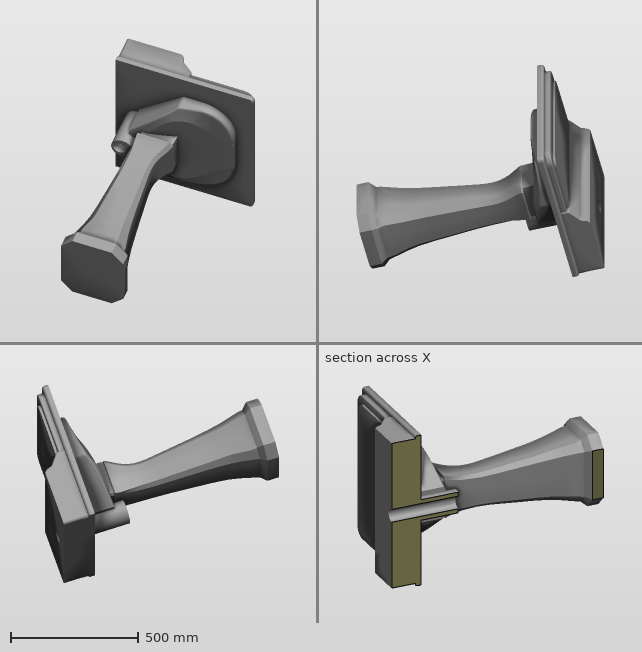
import cadquery as cq
import math


TOTAL_HEIGHT = 920.0
RIM_BOTTOM = 791.0
PEDESTAL_TOP = 661.0

RIM_DEPTH = 581.0
RIM_HALF_WIDTH = 328.0
RIM_CORNER_RADIUS = 18.0
RIM_EDGE_RADIUS = 11.0
RIM_SHOULDER_TOP = 818.0
RIM_INSET = 12.0
DECK_TOP = 842.0
DECK_FRONT = 569.0
DECK_HALF_WIDTH = 312.0
DECK_CORNER_RADIUS = 46.0
DECK_EDGE_RADIUS = 5.0
LEDGE_TOP = 852.0
LEDGE_FRONT = 531.0
LEDGE_CORNER_RADIUS = 34.0
LEDGE_INSET = 28.0

BACKSPLASH_FRONT = 300.0
BACKSPLASH_CREST = 234.0
BACKSPLASH_BROW = (243.0, 910.0)
BACKSPLASH_DIP = (252.0, 886.0)
BACKSPLASH_NOSE = (BACKSPLASH_FRONT, 850.0)
BACKSPLASH_DIP_RADIUS = 5.5
BACKSPLASH_NOSE_RADIUS = 14.0
BACKSPLASH_HALF_WIDTH = RIM_HALF_WIDTH - RIM_INSET
BACKSPLASH_CORNER_RADIUS = 10.0
BACKSPLASH_EDGE_CHAMFER = 4.0

BOWL_BACK = 101.0
BOWL_BACK_HALF_WIDTH = 68.0
BOWL_SHOULDER = 287.0
BOWL_HALF_WIDTH = 226.0
BOWL_FRONT = 511.0
BOWL_FRONT_RADIUS = 146.0
BOWL_SHOULDER_RADIUS = 22.0
BOWL_EDGE_RADIUS = 9.0
BOWL_STATIONS = [
    (BOWL_BACK, 672.0, 37.0, 708.0),
    (202.0, 684.0, 110.0, 718.5),
    (304.0, 708.0, 175.0, 733.0),
    (405.0, 731.0, 133.0, 751.0),
    (BOWL_FRONT, 747.0, 78.0, 753.0),
]

NECK_BACK = 147.0
NECK_FRONT = 293.0
NECK_FRONT_TOP = 299.0
NECK_HALF_WIDTH = 78.0
NECK_CORNER = 9.0

PIPE_X = 92.0
PIPE_RADIUS = 48.0
PIPE_BOTTOM = 630.0
PIPE_BORE_X = 79.0
PIPE_BORE_RADIUS = 27.0

BASE_HEIGHT = 49.0
PEDESTAL_LIP_RADIUS = 5.5
BASE_STATION = (BASE_HEIGHT, 78.0, 340.0, 155.5, 49.0, 48.0)
COLUMN_STATIONS = [
    (74.0, 98.0, 316.5, 134.0, 37.0, 36.0),
    (147.0, 115.0, 302.0, 117.0, 28.5, 28.0),
    (221.0, 125.0, 288.0, 103.0, 24.0, 23.0),
    (294.0, 129.0, 278.0, 94.0, 20.0, 19.0),
    (368.0, 132.0, 270.0, 86.5, 18.0, 18.0),
    (442.0, 134.0, 261.0, 78.0, 17.0, 17.0),
    (515.0, 136.0, 254.0, 74.0, 15.0, 15.0),
    (589.0, 140.0, 265.0, 77.0, 15.0, 9.0),
    (PEDESTAL_TOP, 142.0, 296.0, 96.0, 17.0, 4.0),
]


def plan(height):
    """Workplane parallel to the floor at a height, with local x = X and local y = Z."""
    return cq.Workplane(cq.Plane(origin=(0, height, 0), xDir=(1, 0, 0), normal=(0, -1, 0)))


def slab(bottom, top, depth, half_width, front_radius):
    """Slab against the wall with rounded front corners."""
    block = plan(bottom).center(depth / 2, 0).rect(depth, 2 * half_width).extrude(bottom - top)
    return block.edges("|Y and >X").fillet(front_radius)


def vertical_cylinder(x, radius, bottom, top):
    """Cylinder standing along Y on the symmetry plane."""
    return plan(bottom).center(x, 0).circle(radius).extrude(bottom - top)


def make_rim():
    """Flange with a deck and a raised ledge stepped inward above it."""
    flange = slab(RIM_BOTTOM, RIM_SHOULDER_TOP, RIM_DEPTH, RIM_HALF_WIDTH, RIM_CORNER_RADIUS)
    flange = flange.faces(">Y").edges("not <X").fillet(RIM_EDGE_RADIUS)
    deck = slab(RIM_BOTTOM, DECK_TOP, DECK_FRONT, DECK_HALF_WIDTH, DECK_CORNER_RADIUS)
    deck = deck.faces(">Y").edges("not <X").fillet(DECK_EDGE_RADIUS)
    ledge_half_width = DECK_HALF_WIDTH - LEDGE_INSET
    ledge = slab(RIM_BOTTOM, LEDGE_TOP, LEDGE_FRONT, ledge_half_width, LEDGE_CORNER_RADIUS)
    return flange.union(deck).union(ledge)


def make_backsplash():
    outline = [
        (0, RIM_BOTTOM),
        (0, TOTAL_HEIGHT),
        (BACKSPLASH_CREST, TOTAL_HEIGHT),
        BACKSPLASH_BROW,
        BACKSPLASH_DIP,
        BACKSPLASH_NOSE,
        (BACKSPLASH_FRONT, RIM_BOTTOM),
    ]
    block = cq.Workplane("XY").polyline(outline).close().extrude(BACKSPLASH_HALF_WIDTH, both=True)
    rounded_corners = [
        (BACKSPLASH_DIP, BACKSPLASH_DIP_RADIUS),
        (BACKSPLASH_NOSE, BACKSPLASH_NOSE_RADIUS),
    ]
    for (x, y), radius in rounded_corners:
        block = block.edges(cq.NearestToPointSelector((x, y, 0))).fillet(radius)
    block = block.edges("|Y and <X").fillet(BACKSPLASH_CORNER_RADIUS)
    front_region = cq.selectors.BoxSelector(
        (BACKSPLASH_CREST, RIM_BOTTOM + BACKSPLASH_EDGE_CHAMFER, -RIM_HALF_WIDTH),
        (RIM_DEPTH, TOTAL_HEIGHT, RIM_HALF_WIDTH),
    )
    return block.faces("<Z or >Z").edges(front_region).chamfer(BACKSPLASH_EDGE_CHAMFER)


def underside_section(station):
    """Section of the bowl's underside at one X: flat in the middle, rising to both sides."""
    x, middle_level, flat_half_width, edge_level = station
    half = [
        (flat_half_width, middle_level),
        (BOWL_HALF_WIDTH, edge_level),
        (BOWL_HALF_WIDTH, RIM_BOTTOM),
    ]
    mirrored = [(-z, level) for z, level in reversed(half)]
    return cq.Wire.makePolygon([cq.Vector(x, level, z) for z, level in half + mirrored], close=True)


def make_underside():
    sections = [underside_section(station) for station in BOWL_STATIONS]
    return cq.Workplane(cq.Solid.makeLoft(sections, False))


def make_bowl():
    arc_x = BOWL_FRONT - BOWL_FRONT_RADIUS
    arc_z = BOWL_HALF_WIDTH - BOWL_FRONT_RADIUS
    arc_mid = BOWL_FRONT_RADIUS * math.sqrt(0.5)
    outline = (
        plan(RIM_BOTTOM)
        .moveTo(BOWL_BACK, -BOWL_BACK_HALF_WIDTH)
        .lineTo(BOWL_SHOULDER, -BOWL_HALF_WIDTH)
        .lineTo(arc_x, -BOWL_HALF_WIDTH)
        .threePointArc((arc_x + arc_mid, -arc_z - arc_mid), (BOWL_FRONT, -arc_z))
        .lineTo(BOWL_FRONT, arc_z)
        .threePointArc((arc_x + arc_mid, arc_z + arc_mid), (arc_x, BOWL_HALF_WIDTH))
        .lineTo(BOWL_SHOULDER, BOWL_HALF_WIDTH)
        .lineTo(BOWL_BACK, BOWL_BACK_HALF_WIDTH)
        .close()
    )
    walls = outline.extrude(RIM_BOTTOM - PEDESTAL_TOP)
    for side in (-1, 1):
        shoulder = cq.NearestToPointSelector((BOWL_SHOULDER, RIM_BOTTOM, side * BOWL_HALF_WIDTH))
        walls = walls.edges("|Y").edges(shoulder).fillet(BOWL_SHOULDER_RADIUS)
    bowl = walls.intersect(make_underside())
    lower_edges = bowl.faces("%PLANE or %CYLINDER").edges("%BSPLINE").edges("not(<X or >X)")
    return lower_edges.fillet(BOWL_EDGE_RADIUS)


def make_neck():
    profile = (
        cq.Workplane("XY", origin=(0, 0, -NECK_HALF_WIDTH))
        .moveTo(NECK_BACK, PEDESTAL_TOP)
        .lineTo(NECK_FRONT, PEDESTAL_TOP)
        .lineTo(NECK_FRONT_TOP, RIM_BOTTOM)
        .lineTo(NECK_BACK, RIM_BOTTOM)
        .close()
    )
    neck = profile.extrude(2 * NECK_HALF_WIDTH)
    return neck.edges("(<X or >X) and (not |Z)").chamfer(NECK_CORNER)


def make_basin():
    pipe = vertical_cylinder(PIPE_X, PIPE_RADIUS, PIPE_BOTTOM, RIM_SHOULDER_TOP)
    bore = vertical_cylinder(PIPE_BORE_X, PIPE_BORE_RADIUS, PIPE_BOTTOM, TOTAL_HEIGHT)
    basin = make_rim().union(make_backsplash()).union(make_bowl()).union(make_neck())
    return basin.union(pipe).cut(bore)


def station_outline(station):
    """Eight-sided outline of the pedestal at one station."""
    height, back, front, half_width, cut, back_depth = station
    shoulder = half_width - cut
    points = [
        (back, -shoulder),
        (back + back_depth, -half_width),
        (front - cut, -half_width),
        (front, -shoulder),
        (front, shoulder),
        (front - cut, half_width),
        (back + back_depth, half_width),
        (back, shoulder),
    ]
    return cq.Wire.makePolygon([cq.Vector(x, height, z) for x, z in points], close=True)


def station_loft(stations, ruled):
    return cq.Workplane(cq.Solid.makeLoft([station_outline(station) for station in stations], ruled))


def make_pedestal():
    floor_station = (0.0, *BASE_STATION[1:])
    foot = station_loft([floor_station, BASE_STATION, COLUMN_STATIONS[0]], True)
    column = station_loft(COLUMN_STATIONS, False)
    column = column.faces(">Y").edges().fillet(PEDESTAL_LIP_RADIUS)
    return foot.union(column)


basin = make_basin()
pedestal = make_pedestal()
result = cq.Compound.makeCompound([basin.val(), pedestal.val()])